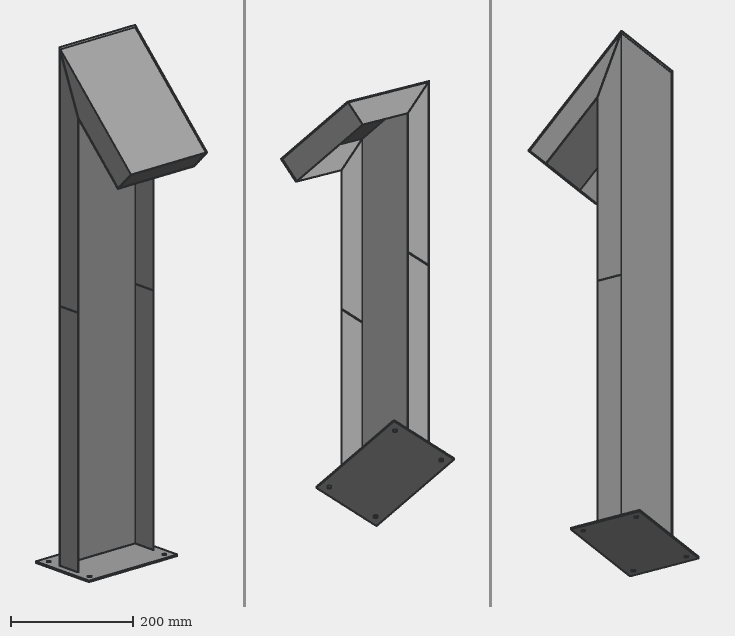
import cadquery as cq
import math

PLATE_X = 130.0
PLATE_Y = 195.0
PLATE_THICKNESS = 3.0
HOLE_DIAMETER = 7.0
HOLE_INSET = 15.0

TOTAL_X = 218.25
TOTAL_HEIGHT = 901.53
COLUMN_DEPTH = 46.0
COLUMN_WIDTH = 168.0
SHEET = 1.5
HEAD_TILT = math.radians(45.0)

SEAM_GAP = 0.2
POST_SEAM_Z = 453.0

column_back = (PLATE_X - COLUMN_DEPTH) / 2
column_front = column_back + COLUMN_DEPTH
head_length = (TOTAL_X - column_back) / math.cos(HEAD_TILT)
miter_slope = (1 + math.sin(HEAD_TILT)) / math.cos(HEAD_TILT)
elbow_z = TOTAL_HEIGHT - COLUMN_DEPTH * miter_slope


def make_base_plate():
    plate = cq.Workplane("XY").box(PLATE_X, PLATE_Y, PLATE_THICKNESS, centered=(False, True, False))
    return (
        plate.faces(">Z")
        .workplane(origin=(PLATE_X / 2, 0, 0))
        .rect(PLATE_X - 2 * HOLE_INSET, PLATE_Y - 2 * HOLE_INSET, forConstruction=True)
        .vertices()
        .hole(HOLE_DIAMETER)
    )


def head_point(along, below):
    """Point at a distance down the head's top slope from the apex, and square below that slope."""
    x = column_back + along * math.cos(HEAD_TILT) - below * math.sin(HEAD_TILT)
    z = TOTAL_HEIGHT - along * math.sin(HEAD_TILT) - below * math.cos(HEAD_TILT)
    return (x, z)


def side_prism(profile, width):
    """Closed X-Z profile extruded evenly to both sides of Y = 0."""
    return cq.Workplane("XZ").polyline(profile).close().extrude(width / 2, both=True)


def column_prism(inset, width):
    """Column profile with its back, top and end drawn in by inset; front, underside and foot stay put."""
    return side_prism(
        [
            (column_back + inset, PLATE_THICKNESS),
            (column_back + inset, TOTAL_HEIGHT - inset * miter_slope),
            head_point(head_length - inset, inset),
            head_point(head_length - inset, COLUMN_DEPTH),
            (column_front, elbow_z),
            (column_front, PLATE_THICKNESS),
        ],
        width,
    )


def flange_seams():
    """Miter seam from elbow to apex and level seam across the post, both clear of the back and top."""
    miter_seam = side_prism(
        [
            (column_back, TOTAL_HEIGHT),
            (column_front, elbow_z),
            (column_front - SEAM_GAP, elbow_z),
            (column_back - SEAM_GAP, TOTAL_HEIGHT),
        ],
        COLUMN_WIDTH,
    )
    post_seam = side_prism(
        [
            (column_back, POST_SEAM_Z),
            (column_front, POST_SEAM_Z),
            (column_front, POST_SEAM_Z - SEAM_GAP),
            (column_back, POST_SEAM_Z - SEAM_GAP),
        ],
        COLUMN_WIDTH,
    )
    inside_back_and_top = column_prism(SHEET, COLUMN_WIDTH)
    return [seam.intersect(inside_back_and_top) for seam in (miter_seam, post_seam)]


def make_column():
    column = column_prism(0, COLUMN_WIDTH).cut(column_prism(SHEET, COLUMN_WIDTH - 2 * SHEET))
    for seam in flange_seams():
        column = column.cut(seam)
    return column


base_plate = make_base_plate()
column = make_column()
result = cq.Compound.makeCompound([base_plate.val(), column.val()])